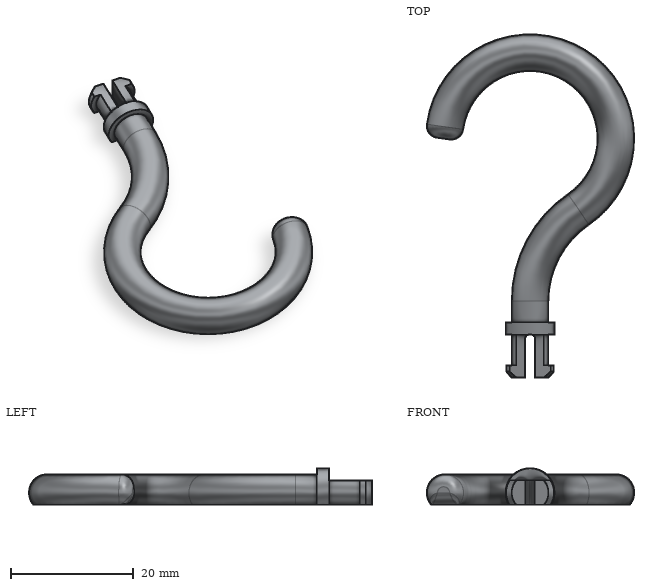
import cadquery as cq
import math

rod_radius = 3.0
ring_radius = 14.0
flat_depth = 2.0
ring_end_angle = 8.0
end_length = 2.0
end_fillet = 1.99

tip_distance = 39.0
clip_length = 7.0
collar_length = 2.0
collar_radius = 4.0
neck_length = 3.5

prong_top = 2.0
slot_width = 1.6
slot_root_fillet = 0.65
barb_radius = 3.9
barb_straight = 1.0
barb_taper = 1.0

tip_y = -tip_distance
collar_y = tip_y + clip_length
neck_y = collar_y + collar_length
bend_y = neck_y + neck_length

bend_radius = (bend_y**2 - ring_radius**2) / (2 * ring_radius)
bend_sweep = math.atan2(-bend_y, bend_radius)

start_angle = -bend_sweep
end_angle = math.pi - math.radians(ring_end_angle)


def ring_plane(angle):
    """Plane across the ring's centre line at an angle; local X points to the ring centre."""
    outward = cq.Vector(math.cos(angle), math.sin(angle), 0)
    tangent = (-math.sin(angle), math.cos(angle), 0)
    return cq.Plane(origin=outward * ring_radius, xDir=-outward, normal=tangent)


def shank_plane(y):
    """Plane across the shank axis, facing +Y, with local Y along +Z."""
    return cq.Plane(origin=(0, y, 0), xDir=(-1, 0, 0), normal=(0, 1, 0))


def shank_cylinder(radius, start_y, length):
    """Cylinder along +Y on the shank axis."""
    return cq.Workplane(shank_plane(start_y)).circle(radius).extrude(length)


def block(width, start_y, end_y, bottom_z, top_z):
    """Box centred on x = 0 between the given Y and Z limits."""
    return (
        cq.Workplane("XY", origin=(0, (start_y + end_y) / 2, bottom_z))
        .rect(width, end_y - start_y)
        .extrude(top_z - bottom_z)
    )


def rod_section(plane):
    """Rod cross-section: a circle with a flat underside; local Y is +Z."""
    half_flat = math.sqrt(rod_radius**2 - flat_depth**2)
    return (
        cq.Workplane(plane)
        .moveTo(-half_flat, -flat_depth)
        .threePointArc((0, rod_radius), (half_flat, -flat_depth))
        .close()
    )


def make_neck():
    """Straight rod between the collar and the bend."""
    return rod_section(shank_plane(neck_y)).extrude(neck_length)


def make_bend():
    """Rod from the neck up to the ring, turning towards +X."""
    section = rod_section(shank_plane(bend_y))
    return section.revolve(math.degrees(bend_sweep), (-bend_radius, 1, 0), (-bend_radius, 0, 0))


def make_ring():
    """Rod around the ring, from the bend to the hook's end piece."""
    section = rod_section(ring_plane(start_angle))
    sweep = math.degrees(end_angle - start_angle)
    return section.revolve(sweep, (ring_radius, 0, 0), (ring_radius, 1, 0))


def make_end():
    """Rounded straight piece closing the hook's free end."""
    plane = ring_plane(end_angle)
    end = rod_section(plane).extrude(end_length)
    end_face = end.faces(cq.selectors.DirectionMinMaxSelector(plane.zDir, True))
    return end_face.edges().fillet(end_fillet)


def make_collar():
    """Round collar, cut by the flat underside."""
    collar = shank_cylinder(collar_radius, collar_y, collar_length)
    return collar.intersect(block(2 * collar_radius, collar_y, neck_y, -flat_depth, collar_radius))


def make_clip():
    """Two flat-sided prongs with tapered barbs, split by a slot up to the collar."""
    barb_y = tip_y + barb_taper
    clip_profile = (
        cq.Workplane("XY")
        .moveTo(0, tip_y)
        .lineTo(rod_radius, tip_y)
        .lineTo(barb_radius, barb_y)
        .lineTo(barb_radius, barb_y + barb_straight)
        .lineTo(rod_radius, barb_y + barb_straight)
        .lineTo(rod_radius, collar_y)
        .lineTo(0, collar_y)
        .close()
    )
    body = clip_profile.revolve(360, (0, 0, 0), (0, 1, 0))
    flats = block(2 * barb_radius, tip_y, collar_y, -flat_depth, prong_top)
    slot = block(slot_width, tip_y, collar_y, -flat_depth, prong_top)
    slot = slot.faces(">Y").edges("|Z").fillet(slot_root_fillet)
    return body.intersect(flats).cut(slot)


result = make_clip()
for section in (make_collar(), make_neck(), make_bend(), make_ring(), make_end()):
    result = result.union(section)